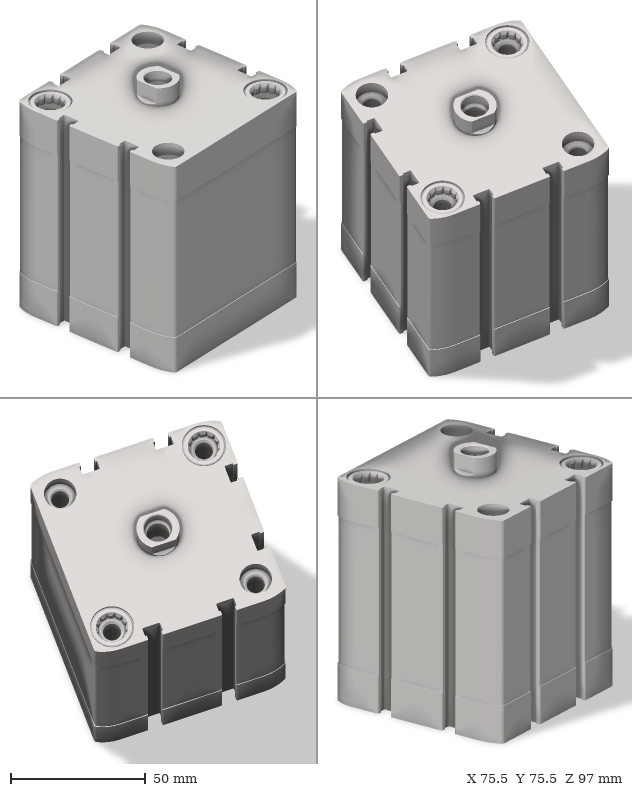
import cadquery as cq
import math

total_height = 97.0
width = 75.5
rod_exposed = 8.0
cap_height = 15.0
tube_inset = 0.3
hole_offset = 28.3

body_height = total_height - rod_exposed
half_width = width / 2
overcut = 1.0

corner_radius = 20.0
edge_radius = 1.3

slot_offset = 14.55
slot_depth = 5.0
slot_mouth = 5.6
slot_width = 7.0
slot_lip = 1.7
slot_floor_radius = 0.4
slot_mouth_chamfer = 0.3

counterbore_diameter = 12.0
counterbore_depth = 5.1
hole_diameter = 6.7
hole_mouth_diameter = 8.0
screw_hole_mouth_diameter = 8.3

screw_seat_diameter = 16.4
screw_diameter = 15.5
screw_recess = 0.4
screw_chamfer = 0.4
screw_gap_depth = 1.0
socket_points = 12
socket_diameter = 12.0
socket_root_diameter = 10.5
socket_groove_half_angle = 7.0
socket_lead_in = 1.5
socket_depth = 4.4

rod_diameter = 16.0
rod_seat_depth = cap_height
flats_width = 13.0
flats_height = 6.5
flats_runout_angle = 30.0
rod_bore_diameter = 10.5
rod_bore_chamfer = 0.4
rod_bore_depth = 4.85
thread_diameter = 8.5
thread_depth = 13.6
drill_point_angle = 118.0


def cone(x, y, top, top_diameter, bottom_diameter, height):
    """Cone frustum hanging down from the height `top`."""
    solid = cq.Solid.makeCone(
        top_diameter / 2, bottom_diameter / 2, height, cq.Vector(x, y, top), cq.Vector(0, 0, -1)
    )
    return cq.Workplane(obj=solid)


def cylinder(x, y, top, diameter, height):
    """Cylinder hanging down from the height `top`."""
    solid = cq.Solid.makeCylinder(diameter / 2, height, cq.Vector(x, y, top), cq.Vector(0, 0, -1))
    return cq.Workplane(obj=solid)


def section(inset, bottom, height):
    """Prism with the rounded housing section, `inset` inside the full width."""
    side = half_width - inset
    radius = corner_radius - inset
    arc_centre = side - radius
    drop_end = arc_centre + math.sqrt(radius**2 - (side - hole_offset) ** 2)
    middle_angle = math.asin((side - hole_offset) / radius) / 2
    middle_x = hole_offset + radius * math.sin(middle_angle)
    middle_y = arc_centre + radius * math.cos(middle_angle)
    outline = (
        cq.Workplane("XY", origin=(0, 0, bottom))
        .moveTo(-hole_offset, side)
        .lineTo(hole_offset, side)
        .threePointArc((middle_x, middle_y), (side, drop_end))
        .lineTo(side, -drop_end)
        .threePointArc((middle_x, -middle_y), (hole_offset, -side))
        .lineTo(-hole_offset, -side)
        .threePointArc((-middle_x, -middle_y), (-side, -drop_end))
        .lineTo(-side, drop_end)
        .threePointArc((-middle_x, middle_y), (-hole_offset, side))
        .close()
    )
    prism = outline.extrude(height)
    return prism.edges("|Z").edges("<X or >X").fillet(edge_radius)


def t_slot(side):
    """T-slot cutter open through the face Y = `side`, centred on X = 0."""
    floor = half_width - slot_depth
    shoulder = half_width - slot_lip
    chamfer_start = side - slot_mouth_chamfer
    flare_half_width = slot_mouth / 2 + slot_mouth_chamfer
    chamber = cq.Workplane("XY").rect(slot_width, shoulder - floor).extrude(body_height)
    chamber = chamber.translate((0, (shoulder + floor) / 2, 0))
    chamber = chamber.faces("<Y").edges("|Z").fillet(slot_floor_radius)
    mouth = (
        cq.Workplane("XY")
        .polyline([
            (-slot_mouth / 2, shoulder),
            (slot_mouth / 2, shoulder),
            (slot_mouth / 2, chamfer_start),
            (flare_half_width, side),
            (-flare_half_width, side),
            (-slot_mouth / 2, chamfer_start),
        ])
        .close()
        .extrude(body_height)
    )
    return chamber.union(mouth)


def slotted_section(inset, bottom, height):
    """Rounded prism with two T-slots in each Y side and two in the -X side."""
    prism = section(inset, bottom, height)
    slot = t_slot(half_width - inset)
    for offset in (-slot_offset, slot_offset):
        back_slot = slot.translate((offset, 0, 0))
        front_slot = back_slot.mirror("XZ")
        left_slot = back_slot.rotate((0, 0, 0), (0, 0, 1), 90)
        prism = prism.cut(back_slot).cut(front_slot).cut(left_slot)
    return prism


def fixing_hole(x, y, top, mouth_diameter):
    """Hole from the height `top` through the bottom, with a 45 degree conical mouth."""
    mouth = cone(x, y, top, mouth_diameter, hole_diameter, (mouth_diameter - hole_diameter) / 2)
    return cylinder(x, y, top, hole_diameter, top + overcut).union(mouth)


def counterbored_hole(x, y):
    """Fixing hole below a wide counterbore."""
    bore = cylinder(x, y, body_height, counterbore_diameter, counterbore_depth)
    return bore.union(fixing_hole(x, y, body_height - counterbore_depth, hole_mouth_diameter))


def bearing_screw_cut(x, y):
    """Everything removed to leave a hollow screw head with a star socket in its seat."""
    head_top = body_height - screw_recess
    head = cylinder(x, y, head_top, screw_diameter, screw_gap_depth).faces(">Z").chamfer(screw_chamfer)
    gap = cylinder(x, y, body_height, screw_seat_diameter, screw_gap_depth).cut(head)
    star = []
    for index in range(socket_points):
        point_angle = 360 * index / socket_points
        for turn, diameter in (
            (-socket_groove_half_angle, socket_root_diameter),
            (0, socket_diameter),
            (socket_groove_half_angle, socket_root_diameter),
        ):
            angle = math.radians(point_angle + turn)
            star.append((x + diameter / 2 * math.cos(angle), y + diameter / 2 * math.sin(angle)))
    socket_floor = body_height - socket_depth
    socket = cq.Workplane("XY", origin=(0, 0, socket_floor)).polyline(star).close().extrude(socket_depth)
    lead_in = cone(x, y, head_top, socket_diameter, socket_root_diameter, socket_lead_in)
    hole = fixing_hole(x, y, socket_floor, screw_hole_mouth_diameter)
    return gap.union(socket).union(lead_in).union(hole)


def make_housing():
    """Tube between two slightly wider end caps, with its slots, corner holes and rod seat."""
    housing = slotted_section(tube_inset, cap_height, body_height - 2 * cap_height)
    for cap_bottom in (0, body_height - cap_height):
        housing = housing.union(slotted_section(0, cap_bottom, cap_height))

    for side in (-1, 1):
        housing = housing.cut(counterbored_hole(side * hole_offset, -side * hole_offset))
        housing = housing.cut(bearing_screw_cut(side * hole_offset, side * hole_offset))

    return housing.cut(cylinder(0, 0, body_height, rod_diameter, rod_seat_depth))


def make_rod():
    """Piston rod with two wrench flats and a stepped blind bore."""
    rod = cylinder(0, 0, total_height, rod_diameter, rod_exposed + rod_seat_depth)

    flat_y = flats_width / 2
    flats_floor = total_height - flats_height
    outer_y = rod_diameter / 2 + overcut
    runout = (outer_y - flat_y) * math.tan(math.radians(flats_runout_angle))
    flat = (
        cq.Workplane("YZ")
        .polyline([
            (flat_y, total_height),
            (flat_y, flats_floor),
            (outer_y, flats_floor - runout),
            (outer_y, total_height),
        ])
        .close()
        .extrude(rod_diameter / 2, both=True)
    )
    rod = rod.cut(flat).cut(flat.mirror("XZ"))

    thread_top = total_height - rod_bore_depth
    thread_bottom = thread_top - thread_depth
    point_height = thread_diameter / 2 / math.tan(math.radians(drill_point_angle / 2))
    mouth_height = (rod_bore_diameter - thread_diameter) / 2
    rod = rod.cut(cylinder(0, 0, total_height, rod_bore_diameter, rod_bore_depth))
    rim_diameter = rod_bore_diameter + 2 * rod_bore_chamfer
    rod = rod.cut(cone(0, 0, total_height, rim_diameter, rod_bore_diameter, rod_bore_chamfer))
    rod = rod.cut(cone(0, 0, thread_top, rod_bore_diameter, thread_diameter, mouth_height))
    rod = rod.cut(cylinder(0, 0, thread_top, thread_diameter, thread_depth))
    return rod.cut(cone(0, 0, thread_bottom, thread_diameter, 0, point_height))


housing = make_housing()
piston_rod = make_rod()

result = cq.Compound.makeCompound([housing.val(), piston_rod.val()])